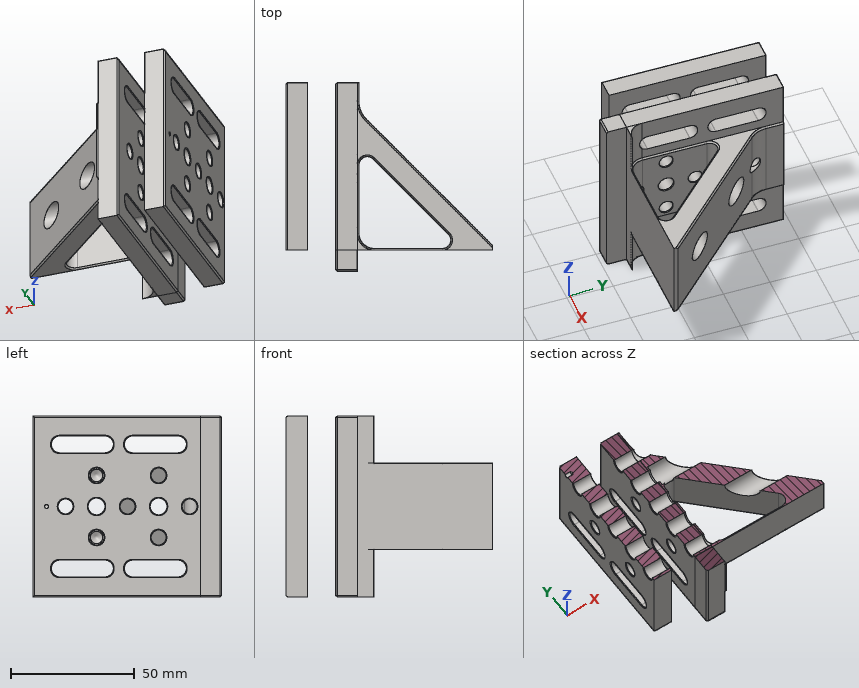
import cadquery as cq
import math

length = 83.5
height = 73.15
plate_width = 67.6
overall_width = 76.2
plate_thickness = 8.8
gap = 11.35
chamfer = 0.7

pitch = 12.5
pattern_center_y = 29.4
thread_diameter = 6.0
clearance_diameter = 6.8
hole_chamfer = 0.3
slot_length = 25.05
slot_spacing = 29.5
slot_pattern_center_y = 32.9
mark_diameter = 1.6
mark_depth = 2.5
mark_y = 62.1

web_height = 34.9
wall = chamfer
tip_width = 1.8
outer_fillet = 10.0
strut_width = 9.4
root_radius = 6.7
cavity_root_radius = root_radius - chamfer
cavity_tip_radius = 3.3
counterbore_diameter = 10.3
drill_diameter = 5.0
drill_depth = 5.0
drill_point_angle = 118.0

rear_plate_x = plate_thickness + gap
web_x = rear_plate_x + plate_thickness
wall_x = web_x + wall
bar_width = overall_width - plate_width
slope_sum = length + tip_width
cavity_sum = slope_sum - strut_width * math.sqrt(2)
beyond = 8.35

upper_y = pattern_center_y + pitch
lower_y = pattern_center_y - pitch
clearance_points = [(upper_y, 0), (lower_y, 0)]
blind_points = [(upper_y, pitch), (upper_y, -pitch)]
wall_points = [
    (lower_y, pitch),
    (lower_y, -pitch),
    (pattern_center_y, 0),
    (pattern_center_y - 2 * pitch, 0),
]
top_point = (pattern_center_y + 2 * pitch, 0)
through_points = wall_points + [top_point]
slot_points = [
    (slot_pattern_center_y + side * slot_spacing / 2, level * pitch)
    for side in (-1, 1)
    for level in (-2, 2)
]


def box(x0, x1, y0, y1, z_size):
    """Block between two X and two Y planes, centred on z = 0."""
    return cq.Workplane("XY").box(x1 - x0, y1 - y0, z_size).translate(((x0 + x1) / 2, (y0 + y1) / 2, 0))


def bores(x0, x1, points, diameter):
    """Round cutters along X at the given (y, z) places."""
    return cq.Workplane("YZ", origin=(x0, 0, 0)).pushPoints(points).circle(diameter / 2).extrude(x1 - x0)


def countersunk_bores(x, points, diameter):
    """Through cutters for a plate whose front face is at x, with a chamfered mouth."""
    holes = bores(x, x + plate_thickness, points, diameter)
    face = cq.Workplane("YZ", origin=(x, 0, 0)).pushPoints(points)
    mouths = face.circle(diameter / 2 + hole_chamfer).extrude(hole_chamfer, taper=45)
    return holes.union(mouths)


def slots(x0, x1):
    """Four slot cutters along X."""
    face = cq.Workplane("YZ", origin=(x0, 0, 0)).pushPoints(slot_points)
    return face.slot2D(slot_length, clearance_diameter).extrude(x1 - x0)


def countersunk_slots(x):
    """Four through slots for a plate whose front face is at x, with a chamfered mouth."""
    face = cq.Workplane("YZ", origin=(x, 0, 0)).pushPoints(slot_points)
    mouths = face.slot2D(slot_length + 2 * hole_chamfer, clearance_diameter + 2 * hole_chamfer)
    return slots(x, x + plate_thickness).union(mouths.extrude(hole_chamfer, taper=45))


def drilled_holes(x, points, diameter, depth):
    """Blind cutters along X with a conical point."""
    radius = diameter / 2
    point_depth = radius / math.tan(math.radians(drill_point_angle / 2))
    profile = (
        cq.Workplane("XY").moveTo(0, 0).lineTo(0, radius).lineTo(depth, radius)
        .lineTo(depth + point_depth, 0).close()
    )
    drill = profile.revolve(360, (0, 0, 0), (1, 0, 0)).val()
    drills = cq.Workplane("XY")
    for y, z in points:
        drills = drills.add(drill.translate(cq.Vector(x, y, z)))
    return drills


def drilled_plate(x):
    """Plate with its front face at x, chamfered round that face except along y = 0."""
    plate = box(x, x + plate_thickness, 0, plate_width, height)
    plate = plate.faces("<X").edges("not(<Y)").chamfer(chamfer)
    plate = plate.cut(countersunk_bores(x, through_points + blind_points, thread_diameter))
    plate = plate.cut(countersunk_bores(x, clearance_points, clearance_diameter))
    return plate.cut(countersunk_slots(x))


def make_loose_plate():
    return drilled_plate(0).cut(drilled_holes(0, [(mark_y, 0)], mark_diameter, mark_depth))


def make_rear_plate():
    return drilled_plate(rear_plate_x)


def make_edge_bar():
    """Bar that closes the rear plate's lower edge."""
    bar = box(rear_plate_x, web_x, -bar_width, 0, height)
    front = bar.faces("<X").edges("not(>Y)")
    foot = bar.faces("<Y").edges("|X")
    return bar.newObject(front.vals() + foot.vals()).chamfer(chamfer)


def outer_outline():
    """Web outline, run past the faces that stay square."""
    reach = slope_sum - wall_x
    half_turn = math.radians(45 / 2)
    tangent = outer_fillet * math.tan(half_turn)
    slope_step = tangent / math.sqrt(2)
    center_x = wall_x + outer_fillet
    center_y = reach + tangent
    middle = math.pi + half_turn
    return (
        cq.Workplane("XY")
        .moveTo(rear_plate_x, -beyond)
        .lineTo(slope_sum + beyond, -beyond)
        .lineTo(wall_x + slope_step, reach - slope_step)
        .threePointArc(
            (center_x + outer_fillet * math.cos(middle), center_y + outer_fillet * math.sin(middle)),
            (wall_x, center_y),
        )
        .lineTo(wall_x, plate_width + beyond)
        .lineTo(rear_plate_x, plate_width + beyond)
        .close()
    )


def web_blank():
    """Solid web with the sloping edges chamfered and the end and foot faces left square."""
    blank = outer_outline().extrude(web_height / 2, both=True)
    blank = blank.faces("|Z").edges().chamfer(chamfer)
    return blank.intersect(box(web_x, length, 0, plate_width, web_height))


def cavity():
    """Triangular window with rounded corners and chamfered rims."""
    half = web_height / 2 - chamfer
    core = (
        cq.Workplane("XY")
        .polyline([(wall_x, wall), (cavity_sum - wall, wall), (wall_x, cavity_sum - wall_x)]).close()
        .extrude(half, both=True)
    )
    core = core.edges("|Z and <X and <Y").fillet(cavity_root_radius)
    core = core.edges("|Z and >X").fillet(cavity_tip_radius)
    core = core.edges("|Z and >Y").fillet(cavity_tip_radius)
    rim = core.faces(">Z").wires().toPending().workplane().extrude(chamfer, combine=False, taper=-45)
    return core.union(rim).union(rim.mirror("XY"))


def gusset():
    """Full-height concave sliver at the rear plate and foot plane, cleared where the slots pass."""
    middle = root_radius * (1 - math.sqrt(0.5))
    sliver = (
        cq.Workplane("XY", origin=(web_x, 0, -height / 2))
        .lineTo(root_radius, 0)
        .threePointArc((middle, middle), (0, root_radius))
        .close()
        .extrude(height)
    )
    return sliver.cut(slots(web_x, web_x + root_radius))


def make_web():
    """Triangular web with its cavity, corner gusset and the holes that continue from the rear plate."""
    web = web_blank().cut(cavity()).union(gusset())
    web = web.cut(bores(web_x, web_x + root_radius, wall_points, thread_diameter))
    web = web.cut(bores(web_x, length, [top_point], thread_diameter))
    web = web.cut(bores(web_x, length, clearance_points, clearance_diameter))
    web = web.cut(bores(wall_x, length, clearance_points, counterbore_diameter))
    return web.cut(drilled_holes(web_x, blind_points, drill_diameter, drill_depth))


loose_plate = make_loose_plate()
rear_plate = make_rear_plate()
edge_bar = make_edge_bar()
web = make_web()

bodies = [loose_plate, rear_plate, edge_bar, web]
result = cq.Compound.makeCompound([body.solids().val() for body in bodies])